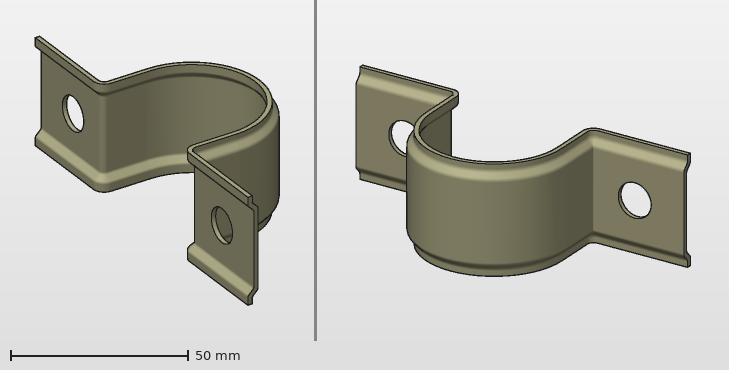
import cadquery as cq
import math


overall_length = 110.0
strip_width = 35.0
overall_depth = 41.7

sheet_thickness = 1.5
bead_height = 2.0
bead_angle = 45.0
rim_width = 2.9
pipe_side_radius = 1.0
outer_side_radius = 1.5

pipe_diameter = 42.4
flange_bend_radius = 0.1
strip_depth = sheet_thickness + bead_height
arch_radius = pipe_diameter / 2 + strip_depth
flange_outer_y = arch_radius - overall_depth + strip_depth
bend_start_x = arch_radius + flange_bend_radius
leg_end_y = flange_outer_y + flange_bend_radius

hole_diameter = 11.0
hole_spacing = 77.0

match_tolerance = 1e-6


def corners_at(face, corners):
    """Vertices of the section at the given (y, z) corners and their mirror images below."""
    return [
        vertex
        for vertex in face.Vertices()
        for y, z in corners
        if math.hypot(vertex.Y - y, abs(vertex.Z) - z) < match_tolerance
    ]


def strip_section():
    """Cross-section at the -X flange end, rounded at the step corners."""
    half_width = strip_width / 2
    step_run = bead_height / math.tan(math.radians(bead_angle))
    face_shift = sheet_thickness * math.tan(math.radians(bead_angle / 2))
    inner_rim_z = half_width - rim_width
    outer_rim_z = inner_rim_z + face_shift
    inner_band_z = inner_rim_z - step_run
    outer_band_z = outer_rim_z - step_run

    outer_band_y = flange_outer_y
    inner_band_y = outer_band_y - sheet_thickness
    outer_rim_y = outer_band_y - bead_height
    inner_rim_y = inner_band_y - bead_height

    outer_corners = [(outer_rim_y, outer_rim_z), (outer_band_y, outer_band_z)]
    inner_corners = [(inner_band_y, inner_band_z), (inner_rim_y, inner_rim_z)]
    upper_half = [
        *inner_corners,
        (inner_rim_y, half_width),
        (outer_rim_y, half_width),
        *outer_corners,
    ]
    lower_half = [(y, -z) for y, z in reversed(upper_half)]

    outline = (
        cq.Workplane("YZ", origin=(-overall_length / 2, 0, 0))
        .polyline(upper_half + lower_half)
        .close()
    )
    face = cq.Face.makeFromWires(outline.val())
    face = face.fillet2D(outer_side_radius, corners_at(face, outer_corners))
    return face.fillet2D(pipe_side_radius, corners_at(face, inner_corners))


def strip_path():
    """Line of the outer face: flange, bend, leg, arch, leg, bend, flange."""
    bend_inset = flange_bend_radius * (1 - math.cos(math.radians(45)))
    bend_mid_x = arch_radius + bend_inset
    bend_mid_y = flange_outer_y + bend_inset
    return (
        cq.Workplane("XY")
        .moveTo(-overall_length / 2, flange_outer_y)
        .lineTo(-bend_start_x, flange_outer_y)
        .threePointArc((-bend_mid_x, bend_mid_y), (-arch_radius, leg_end_y))
        .lineTo(-arch_radius, 0)
        .threePointArc((0, arch_radius), (arch_radius, 0))
        .lineTo(arch_radius, leg_end_y)
        .threePointArc((bend_mid_x, bend_mid_y), (bend_start_x, flange_outer_y))
        .lineTo(overall_length / 2, flange_outer_y)
    )


def mounting_holes():
    """Cutters for one hole through the middle of each flange."""
    return (
        cq.Workplane("XZ", origin=(0, flange_outer_y, 0))
        .pushPoints([(-hole_spacing / 2, 0), (hole_spacing / 2, 0)])
        .circle(hole_diameter / 2)
        .extrude(strip_depth, both=True)
    )


strap = cq.Workplane(cq.Solid.sweep(strip_section(), strip_path().wire().val()))
result = strap.cut(mounting_holes())